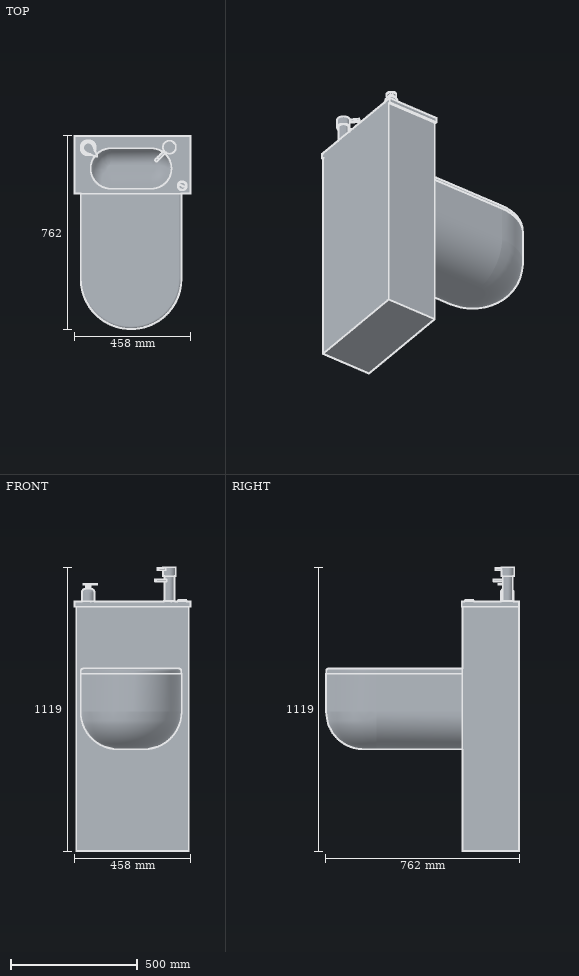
import cadquery as cq
import math

total_height = 1119
total_depth = 762.0
worktop_width = 458.0
worktop_depth = 227.0
worktop_top = 984.0
worktop_thickness = 21.0
front_overhang = 3.0
side_overhang = 7.0

bowl_x = -6.0
bowl_radius = 199.0
bowl_bottom = 401.0
bowl_bottom_radius = 149.0
lid_bottom = 699.0
lid_top = 720.0
lid_inset = 1.0
lid_edge_radius = 10.0

basin_y = -129.0
basin_straight = 160.0
basin_radius = 80.0
basin_floor_radius = 15.0

soap_x, soap_y = -175.0, -47.0
soap_recess_diameter = 60.0
soap_diameter = 50.0
soap_shoulder_z = 1019.0
soap_shoulder_radius = 15.0
neck_diameter = 18.0
collar_diameter = 21.0
collar_bottom = 1040.0
collar_thickness = 3.0
stem_diameter = 15.0
paddle_top = 1053.0
paddle_thickness = 5.0
paddle_radius = 20.0
paddle_reach = 46.0
paddle_tip_radius = 3.0
paddle_angle = -45

tap_x, tap_y = 145, -45
tap_flange_diameter = 44.0
tap_flange_thickness = 3.0
tap_column_diameter = 40.0
tap_head_diameter = 51.0
tap_head_height = 36.0
tap_angle = -135
lever_width = 10.0
lever_height = 10.0
lever_top = 1116.0
lever_reach = 64.0
spout_diameter = 10.3
spout_z = 1066.0
spout_reach = 77.0

button_x, button_y = 196.0, -197.0
button_base_diameter = 36.0
button_top_diameter = 30.0
button_step = 3.0
groove_width = 1.0
groove_bulge = 3.0

worktop_bottom = worktop_top - worktop_thickness
cabinet_width = worktop_width - 2 * side_overhang
cabinet_depth = worktop_depth - front_overhang


def cylinder(x, y, bottom, top, diameter):
    """Upright cylinder between two heights."""
    return cq.Workplane("XY", origin=(x, y, bottom)).circle(diameter / 2).extrude(top - bottom)


def back_box(width, depth, bottom, top):
    """Box centred in X with its back face at Y = 0."""
    box = cq.Workplane("XY", origin=(0, -depth / 2, bottom))
    return box.rect(width, depth).extrude(top - bottom)


def bowl_prism(bottom, top, inset=0):
    """Upright prism with straight sides and a half-round front, optionally inset all round."""
    radius = bowl_radius - inset
    back_y = -cabinet_depth
    round_y = bowl_radius - total_depth
    return (
        cq.Workplane("XY", origin=(bowl_x, 0, bottom))
        .moveTo(-radius, back_y)
        .lineTo(-radius, round_y)
        .threePointArc((0, round_y - radius), (radius, round_y))
        .lineTo(radius, back_y)
        .close()
        .extrude(top - bottom)
    )


def rounded_side_edges(prism, end_face, radius):
    """Round the sides and front of an end face, leaving its back edge sharp."""
    return prism.faces(end_face).edges("not(>Y)").fillet(radius)


def make_bowl():
    bowl = rounded_side_edges(bowl_prism(bowl_bottom, lid_bottom), "<Z", bowl_bottom_radius)
    lid = rounded_side_edges(bowl_prism(lid_bottom, lid_top, lid_inset), ">Z", lid_edge_radius)
    return bowl.union(lid)


def make_basin_cutter():
    """Trough with a narrow flat floor and spherical-looking rounded ends."""
    curve_radius = basin_radius - basin_floor_radius
    arc_offset = curve_radius * math.sqrt(0.5)

    def half_profile(x):
        return (
            cq.Workplane("YZ", origin=(x, basin_y, worktop_top))
            .lineTo(basin_radius, 0)
            .threePointArc((basin_floor_radius + arc_offset, -arc_offset), (basin_floor_radius, -curve_radius))
            .lineTo(0, -curve_radius)
            .close()
        )

    left_x = bowl_x - basin_straight / 2
    half_trough = half_profile(left_x).extrude(basin_straight)
    cutter = half_trough.union(half_trough.mirror("XZ", (0, basin_y, 0)))
    for x in (left_x, left_x + basin_straight):
        cutter = cutter.union(half_profile(x).revolve(360, (0, 0, 0), (0, 1, 0)))
    return cutter


def make_paddle():
    """Teardrop plate: a large disc joined by tangents to a small rounded tip."""
    tangent = math.acos((paddle_radius - paddle_tip_radius) / paddle_reach)
    c, s = math.cos(tangent), math.sin(tangent)
    tip_x = paddle_reach + paddle_tip_radius * c
    tip_y = paddle_tip_radius * s
    return (
        cq.Workplane("XY")
        .moveTo(paddle_radius * c, paddle_radius * s)
        .threePointArc((-paddle_radius, 0), (paddle_radius * c, -paddle_radius * s))
        .lineTo(tip_x, -tip_y)
        .threePointArc((paddle_reach + paddle_tip_radius, 0), (tip_x, tip_y))
        .close()
        .extrude(paddle_thickness)
        .rotate((0, 0, 0), (0, 0, 1), paddle_angle)
        .translate((soap_x, soap_y, paddle_top - paddle_thickness))
    )


def make_soap_dispenser():
    shoulder_top = soap_shoulder_z + soap_shoulder_radius
    collar_top = collar_bottom + collar_thickness
    body = cylinder(soap_x, soap_y, worktop_bottom, shoulder_top, soap_diameter)
    body = body.faces(">Z").edges().fillet(soap_shoulder_radius)
    return (
        body.union(cylinder(soap_x, soap_y, soap_shoulder_z, collar_bottom, neck_diameter))
        .union(cylinder(soap_x, soap_y, collar_bottom, collar_top, collar_diameter))
        .union(cylinder(soap_x, soap_y, collar_top, paddle_top - paddle_thickness, stem_diameter))
        .union(make_paddle())
    )


def make_tap():
    head_bottom = total_height - tap_head_height
    flange_top = worktop_top + tap_flange_thickness
    lever = (
        cq.Workplane("YZ", origin=(0, 0, lever_top - lever_height / 2))
        .rect(lever_width, lever_height)
        .extrude(lever_reach)
    )
    spout = cq.Workplane("YZ", origin=(0, 0, spout_z)).circle(spout_diameter / 2).extrude(spout_reach)
    arms = lever.union(spout).rotate((0, 0, 0), (0, 0, 1), tap_angle).translate((tap_x, tap_y, 0))
    return (
        cylinder(tap_x, tap_y, worktop_top, flange_top, tap_flange_diameter)
        .union(cylinder(tap_x, tap_y, worktop_top, head_bottom, tap_column_diameter))
        .union(cylinder(tap_x, tap_y, head_bottom, total_height, tap_head_diameter))
        .union(arms)
    )


def make_flush_button():
    """Stepped round button whose top is split by an S-shaped groove."""
    step_z = worktop_top + button_step
    top_z = step_z + button_step
    base = cylinder(button_x, button_y, worktop_top, step_z, button_base_diameter)
    cap = cylinder(button_x, button_y, step_z, top_z, button_top_diameter)
    half = button_top_diameter / 2
    quarter = half / 2
    groove = (
        cq.Workplane("XY", origin=(button_x, button_y, step_z))
        .moveTo(-half, 0)
        .threePointArc((-quarter, groove_bulge), (0, 0))
        .threePointArc((quarter, -groove_bulge), (half, 0))
        .offset2D(groove_width / 2)
        .extrude(button_step)
    )
    return base.union(cap.cut(groove))


result = (
    back_box(cabinet_width, cabinet_depth, 0, worktop_bottom)
    .union(back_box(worktop_width, worktop_depth, worktop_bottom, worktop_top))
    .cut(make_basin_cutter())
    .cut(cylinder(soap_x, soap_y, worktop_bottom, worktop_top, soap_recess_diameter))
    .union(make_bowl())
    .union(make_soap_dispenser())
    .union(make_tap())
    .union(make_flush_button())
)